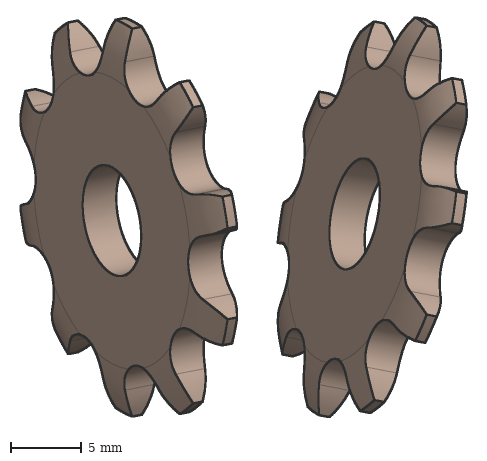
import cadquery as cq
import math

tooth_count = 10
chain_pitch = 8.0
roller_diameter = 5.0
tip_radius = 14.6
flank_factor = 0.12
bore_diameter = 8.0

thickness = 2.8
bevel_depth = 1.0
bevel_radius = chain_pitch

roller_seat_radius = roller_diameter / 2
flank_radius = flank_factor * roller_diameter * (tooth_count + 2)

half_thickness = thickness / 2
half_step = math.pi / tooth_count
pitch_radius = chain_pitch / 2 / math.sin(half_step)
bevel_height = math.sqrt(bevel_radius**2 - (bevel_radius - bevel_depth) ** 2)
face_radius = tip_radius - bevel_height

seat_x = pitch_radius * math.sin(half_step)
seat_z = pitch_radius * math.cos(half_step)
flank_base = (seat_x - roller_seat_radius, seat_z)

flank_center = (flank_base[0] - flank_radius, seat_z)
flank_center_distance = math.hypot(*flank_center)
flank_corner_cosine = (flank_center_distance**2 + flank_radius**2 - tip_radius**2) / (
    2 * flank_center_distance * flank_radius
)
axis_direction = math.atan2(-flank_center[1], -flank_center[0])
flank_sweep = axis_direction + math.acos(flank_corner_cosine)


def point_on_circle(center, radius, angle):
    """Point at an angle measured from +X toward +Z."""
    return (center[0] + radius * math.cos(angle), center[1] + radius * math.sin(angle))


def turned(point, tooth_index):
    """Point moved clockwise by a whole number of teeth."""
    angle = -2 * half_step * tooth_index
    x, z = point
    return (x * math.cos(angle) - z * math.sin(angle), x * math.sin(angle) + z * math.cos(angle))


def mirrored(point):
    """Point reflected in the tooth centreline."""
    return (-point[0], point[1])


def tooth_outline():
    """Closed outline of all teeth, running clockwise."""
    flank_middle = point_on_circle(flank_center, flank_radius, flank_sweep / 2)
    flank_end = point_on_circle(flank_center, flank_radius, flank_sweep)
    tip = (0, tip_radius)
    root_radius = pitch_radius - roller_seat_radius
    root = (root_radius * math.sin(half_step), root_radius * math.cos(half_step))

    outline = cq.Workplane("XZ").moveTo(*mirrored(flank_base))
    for index in range(tooth_count):
        outline = (
            outline.threePointArc(turned(mirrored(flank_middle), index), turned(mirrored(flank_end), index))
            .threePointArc(turned(tip, index), turned(flank_end, index))
            .threePointArc(turned(flank_middle, index), turned(flank_base, index))
            .threePointArc(turned(root, index), turned(mirrored(flank_base), index + 1))
        )
    return outline.close()


def bevelled_disc():
    """Bored disc whose rim is rounded in from both faces toward the tip circle."""
    tip_half_width = half_thickness - bevel_depth
    bevel_middle_angle = math.asin(bevel_height / bevel_radius) / 2
    bevel_middle_radius = face_radius + bevel_radius * math.sin(bevel_middle_angle)
    bevel_middle_y = half_thickness - bevel_radius * (1 - math.cos(bevel_middle_angle))
    bore_radius = bore_diameter / 2
    return (
        cq.Workplane("YZ")
        .moveTo(-half_thickness, bore_radius)
        .lineTo(-half_thickness, face_radius)
        .threePointArc((-bevel_middle_y, bevel_middle_radius), (-tip_half_width, tip_radius))
        .lineTo(tip_half_width, tip_radius)
        .threePointArc((bevel_middle_y, bevel_middle_radius), (half_thickness, face_radius))
        .lineTo(half_thickness, bore_radius)
        .close()
        .revolve(360, (0, 0, 0), (1, 0, 0))
    )


teeth = tooth_outline().extrude(half_thickness, both=True)
result = bevelled_disc().intersect(teeth)